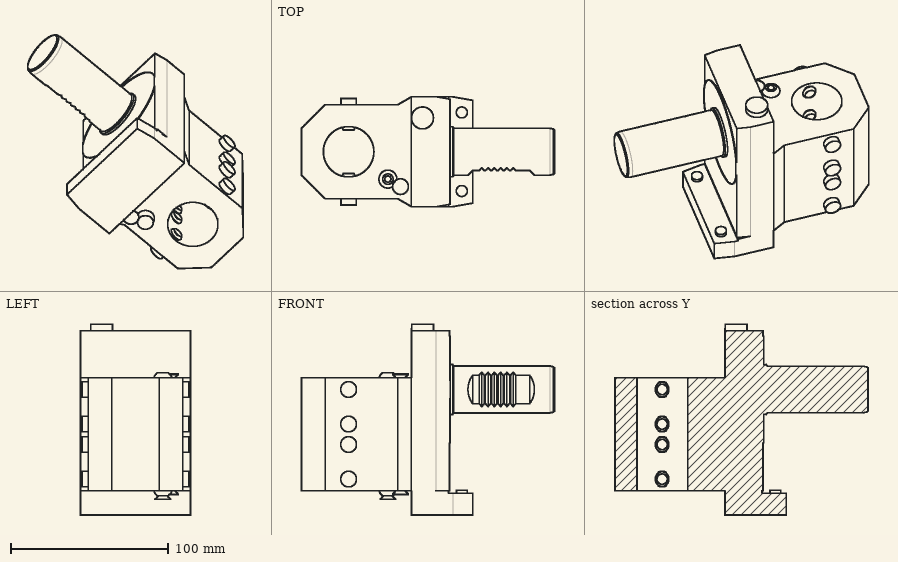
import cadquery as cq
import math


PLATE_FRONT_X = -24.7
PLATE_HALF_WIDTH = 35.0
PLATE_TOP_Z = 37.5
PLATE_TAPER_X = -9.2
TAPER_ANGLE = 10.0
RELIEF_DEPTH = 0.5
PAD_RADIUS = 34.0

FOOT_TOP_Z = -66.0
FOOT_BOTTOM_Z = -80.0
FOOT_END_X = 14.3
FOOT_TAPER_X = 1.6
UNDERCUT_X = -1.0
FOOT_PIN_X = 7.3
FOOT_PIN_Y = 25.0
FOOT_PIN_RADIUS = 3.5
FOOT_PIN_HEIGHT = 2.0

BUTTON_RADIUS = 7.0
BUTTON_Y = 21.5
BUTTON_HEIGHT = 4.0

BLOCK_FRONT_X = -94.7
BLOCK_HALF_WIDTH = 30.0
BLOCK_CHAMFER = 15.0
BLOCK_TOP_Z = 7.5
BLOCK_BOTTOM_Z = -64.5
BLOCK_MID_Z = (BLOCK_TOP_Z + BLOCK_BOTTOM_Z) / 2
FLARE_ANGLE = 30.0
BORE_X = -64.7
BORE_RADIUS = 16.0

SCREW_RADIUS = 5.0
SCREW_END_Y = 34.0
SCREW_OFFSETS = (6.5, 28.5)
SCREW_TIP_Y = 13.8
SCREW_TIP_BASE_Y = 15.8
SCREW_TIP_BASE_RADIUS = 4.6
SCREW_TIP_RADIUS = 3.3
SCREW_CUP_DEPTH = 2.0

BALL_X = -39.7
BALL_Y = -17.4
BALL_RADIUS = 6.0
BALL_SINK = 1.8
BALL_HEIGHT = 3.2
BALL_FLAT_Z = BLOCK_TOP_Z + BALL_HEIGHT
NOZZLE_RADIUS = 2.0
NOZZLE_DEPTH = 5.0

PLUG_X = -31.7
PLUG_Y = -22.2
PLUG_RADIUS = 5.0
PLUG_HEIGHT = 2.4
PLUG_RIM = 0.4
BALL_PLUG_HEIGHT = 5.4

SHANK_ROOT_X = -12.0
SHANK_RADIUS = 15.0
SHANK_END_X = 66.3
SHANK_TAPER_X = 63.2
SHANK_EDGE_X = 65.6
SHANK_EDGE_RADIUS = 14.5
SHANK_END_RADIUS = 13.7
COLLAR_RADIUS = 16.0
COLLAR_END_X = 1.5
COLLAR_CONE_END_X = 2.3

FLAT_Y = -12.0
FLAT_START_X = 14.2
FLAT_END_X = 50.5
TOOTH_COUNT = 6
TOOTH_PITCH = 4.0
FIRST_TOOTH_X = 20.0
TOOTH_DEPTH = 1.65


def cylinder(x, y, z, radius, height):
    """Upright cylinder; a negative height points down."""
    return cq.Workplane("XY", origin=(x, y, z)).circle(radius).extrude(height)


def narrowing(start_x, end_x):
    """Sideways loss of width along a taper."""
    return (end_x - start_x) * math.tan(math.radians(TAPER_ANGLE))


def tapered_slab(start_x, taper_x, end_x, bottom_z, top_z):
    """Full-width slab whose rear end narrows on both sides."""
    end_half_width = PLATE_HALF_WIDTH - narrowing(taper_x, end_x)
    outline = [
        (start_x, -PLATE_HALF_WIDTH),
        (taper_x, -PLATE_HALF_WIDTH),
        (end_x, -end_half_width),
        (end_x, end_half_width),
        (taper_x, PLATE_HALF_WIDTH),
        (start_x, PLATE_HALF_WIDTH),
    ]
    slab = cq.Workplane("XY", origin=(0, 0, bottom_z)).polyline(outline).close()
    return slab.extrude(top_z - bottom_z)


def make_plate():
    """Plate whose mounting face keeps only a round contact pad at full height."""
    plate = tapered_slab(PLATE_FRONT_X, PLATE_TAPER_X, 0, BLOCK_BOTTOM_Z, PLATE_TOP_Z)
    relief = cq.Workplane("XY").box(
        RELIEF_DEPTH,
        2 * PLATE_HALF_WIDTH,
        PLATE_TOP_Z - BLOCK_BOTTOM_Z,
        centered=(False, True, False),
    ).translate((-RELIEF_DEPTH, 0, BLOCK_BOTTOM_Z))
    pad = cq.Workplane("YZ").circle(PAD_RADIUS).extrude(-RELIEF_DEPTH)
    button_x = PLATE_FRONT_X + BUTTON_RADIUS
    button = cylinder(button_x, BUTTON_Y, PLATE_TOP_Z, BUTTON_RADIUS, BUTTON_HEIGHT)
    return plate.cut(relief.cut(pad)).union(button)


def make_foot():
    """Foot reaching under the shank, with two pins on its upper side."""
    foot = tapered_slab(PLATE_FRONT_X, FOOT_TAPER_X, FOOT_END_X, FOOT_BOTTOM_Z, FOOT_TOP_Z)
    neck = cq.Workplane("XY").box(
        UNDERCUT_X - PLATE_FRONT_X,
        2 * PLATE_HALF_WIDTH,
        BLOCK_BOTTOM_Z - FOOT_TOP_Z,
        centered=(False, True, False),
    ).translate((PLATE_FRONT_X, 0, FOOT_TOP_Z))
    foot = foot.union(neck)
    for side in (-1, 1):
        pin = cylinder(FOOT_PIN_X, side * FOOT_PIN_Y, FOOT_TOP_Z, FOOT_PIN_RADIUS, FOOT_PIN_HEIGHT)
        foot = foot.union(pin)
    return foot


def make_block():
    """Tool block with chamfered front corners, flared rear and vertical bore."""
    flare_length = (PLATE_HALF_WIDTH - BLOCK_HALF_WIDTH) / math.tan(math.radians(FLARE_ANGLE))
    half_outline = [
        (BLOCK_FRONT_X, BLOCK_HALF_WIDTH - BLOCK_CHAMFER),
        (BLOCK_FRONT_X + BLOCK_CHAMFER, BLOCK_HALF_WIDTH),
        (PLATE_FRONT_X - flare_length, BLOCK_HALF_WIDTH),
        (PLATE_FRONT_X, PLATE_HALF_WIDTH),
    ]
    mirrored_half = [(x, -y) for x, y in reversed(half_outline)]
    height = BLOCK_TOP_Z - BLOCK_BOTTOM_Z
    block = cq.Workplane("XY", origin=(0, 0, BLOCK_BOTTOM_Z))
    block = block.polyline(half_outline + mirrored_half).close().extrude(height)
    bore = cylinder(BORE_X, 0, BLOCK_BOTTOM_Z, BORE_RADIUS, height)
    return block.cut(bore)


def make_screw(side, z):
    """Cup-point clamping screw through one wall of the bore (side is +1 or -1)."""
    profile = [
        (0, SCREW_TIP_Y + SCREW_CUP_DEPTH),
        (SCREW_TIP_RADIUS, SCREW_TIP_Y),
        (SCREW_TIP_BASE_RADIUS, SCREW_TIP_BASE_Y),
        (SCREW_RADIUS, SCREW_TIP_BASE_Y),
        (SCREW_RADIUS, SCREW_END_Y),
        (0, SCREW_END_Y),
    ]
    screw = cq.Workplane("XY").polyline(profile).close().revolve(360, (0, 0), (0, 1))
    if side < 0:
        screw = screw.mirror("XZ")
    return screw.translate((BORE_X, 0, z))


def make_ball():
    """Ball nozzle at the upper block face, flat at its outer end."""
    ball = cq.Workplane("XY").sphere(BALL_RADIUS).translate((BALL_X, BALL_Y, BLOCK_TOP_Z - BALL_SINK))
    return ball.cut(cylinder(BALL_X, BALL_Y, BALL_FLAT_Z, BALL_RADIUS, BALL_RADIUS))


def make_plug(x, y, top_z, rim_height):
    """Countersunk plug: a short straight rim above a 45 degree cone that runs to a point."""
    cone_base_z = top_z - rim_height
    cone_profile = [
        (0, cone_base_z),
        (PLUG_RADIUS, cone_base_z),
        (0, cone_base_z - PLUG_RADIUS),
    ]
    plug = cq.Workplane("XZ").polyline(cone_profile).close().revolve(360, (0, 0), (0, 1))
    plug = plug.translate((x, y, 0))
    if rim_height > 0:
        plug = plug.union(cylinder(x, y, cone_base_z, PLUG_RADIUS, rim_height))
    return plug


def to_lower_face(solid):
    """Mirror a fitting of the upper block face to the lower block face."""
    return solid.mirror("XY", (0, 0, BLOCK_MID_Z))


def shank_slot(outline):
    """Cutter of the given X-Y outline across the full width of the shank."""
    return cq.Workplane("XY").polyline(outline).close().extrude(SHANK_RADIUS, both=True)


def make_shank():
    """Shank with collar, tapered end and toothed flat."""
    profile = [
        (SHANK_ROOT_X, 0),
        (SHANK_ROOT_X, COLLAR_RADIUS),
        (COLLAR_END_X, COLLAR_RADIUS),
        (COLLAR_CONE_END_X, SHANK_RADIUS),
        (SHANK_TAPER_X, SHANK_RADIUS),
        (SHANK_EDGE_X, SHANK_EDGE_RADIUS),
        (SHANK_END_X, SHANK_END_RADIUS),
        (SHANK_END_X, 0),
    ]
    shank = cq.Workplane("XY").polyline(profile).close().revolve(360, (0, 0), (1, 0))

    flat_depth = SHANK_RADIUS + FLAT_Y
    flat = [
        (FLAT_START_X, FLAT_Y),
        (FLAT_END_X, FLAT_Y),
        (FLAT_END_X + flat_depth, -SHANK_RADIUS),
        (FLAT_START_X - flat_depth, -SHANK_RADIUS),
    ]
    shank = shank.cut(shank_slot(flat))
    for index in range(TOOTH_COUNT):
        x = FIRST_TOOTH_X + index * TOOTH_PITCH
        groove = [
            (x - TOOTH_DEPTH, FLAT_Y),
            (x, FLAT_Y + TOOTH_DEPTH),
            (x + TOOTH_DEPTH, FLAT_Y),
        ]
        shank = shank.cut(shank_slot(groove))
    return shank


def make_holder():
    """All parts of the holder joined into one solid."""
    holder = make_block().union(make_plate()).union(make_foot()).union(make_shank())
    for offset in SCREW_OFFSETS:
        for z in (BLOCK_MID_Z - offset, BLOCK_MID_Z + offset):
            for side in (-1, 1):
                holder = holder.union(make_screw(side, z))

    ball = make_ball()
    nozzle_hole = cylinder(BALL_X, BALL_Y, BALL_FLAT_Z, NOZZLE_RADIUS, -NOZZLE_DEPTH)
    plug = make_plug(PLUG_X, PLUG_Y, BLOCK_TOP_Z + PLUG_HEIGHT, PLUG_RIM)
    holder = holder.union(ball).cut(nozzle_hole).union(plug)

    ball_plug = make_plug(BALL_X, BALL_Y, BLOCK_TOP_Z + BALL_PLUG_HEIGHT, 0)
    for fitting in (ball, ball_plug, plug):
        holder = holder.union(to_lower_face(fitting))
    return holder


result = make_holder()